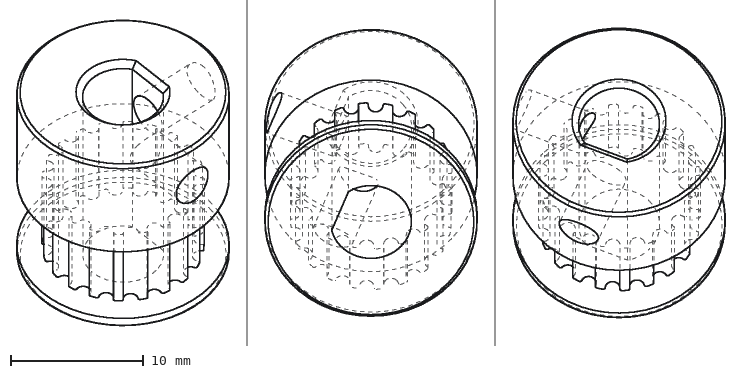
import cadquery as cq
import math

height = 17.0
outer_diameter = 16.0
flange_thickness = 1.0
tooth_length = 7.0
rim_chamfer = 0.25
outer_radius = outer_diameter / 2
hub_bottom = flange_thickness + tooth_length
hub_length = height - hub_bottom

tooth_count = 20
tooth_tip_radius = 6.1
groove_radius = 0.56
groove_depth = 0.75
tooth_edge_fillet = 0.15
groove_center_radius = tooth_tip_radius - groove_depth + groove_radius

bore_radius = 3.05
bore_flat_distance = 2.5
bore_chamfer = 0.5

screw_diameter = 3.2
screw_depth_below_top = 4.0


def flange():
    """Bottom disc that retains the belt."""
    disc = cq.Workplane("XY").circle(outer_radius).extrude(flange_thickness)
    return disc.faces("<Z").chamfer(rim_chamfer)


def hub():
    """Plain upper cylinder that carries the set screws."""
    cylinder = cq.Workplane("XY", origin=(0, 0, hub_bottom)).circle(outer_radius).extrude(hub_length)
    return cylinder.faces(">Z").chamfer(rim_chamfer)


def toothed_section():
    """Cylinder with evenly spaced round grooves and rounded tooth edges."""
    base = cq.Workplane("XY", origin=(0, 0, flange_thickness))
    grooves = (
        base.polarArray(groove_center_radius, 0, 360, tooth_count)
        .circle(groove_radius)
        .extrude(tooth_length)
    )
    teeth = base.circle(tooth_tip_radius).extrude(tooth_length).cut(grooves)
    return teeth.edges("|Z").fillet(tooth_edge_fillet)


def bore_outline(workplane, offset):
    """Draw the D outline, moved outward by offset, with its flat toward +Y."""
    radius = bore_radius + offset
    flat_y = bore_flat_distance + offset
    half_flat = math.sqrt(radius**2 - flat_y**2)
    return (
        workplane.moveTo(-half_flat, flat_y)
        .lineTo(half_flat, flat_y)
        .threePointArc((0, -radius), (-half_flat, flat_y))
        .close()
    )


def bore():
    """D-shaped through hole with a chamfered top mouth."""
    straight = bore_outline(cq.Workplane("XY"), 0).extrude(height)
    mouth_start = cq.Workplane("XY", origin=(0, 0, height - bore_chamfer))
    mouth_top = bore_outline(mouth_start, 0).workplane(offset=bore_chamfer)
    mouth = bore_outline(mouth_top, bore_chamfer).loft(ruled=True)
    return straight.union(mouth)


def screw_hole(direction):
    """Radial hole from the bore axis out through the hub wall."""
    center = cq.Vector(0, 0, height - screw_depth_below_top)
    return cq.Workplane(
        cq.Solid.makeCylinder(screw_diameter / 2, outer_radius, center, cq.Vector(*direction))
    )


result = flange().union(toothed_section()).union(hub()).cut(bore())
for screw_direction in [(1, 0, 0), (0, 1, 0)]:
    result = result.cut(screw_hole(screw_direction))